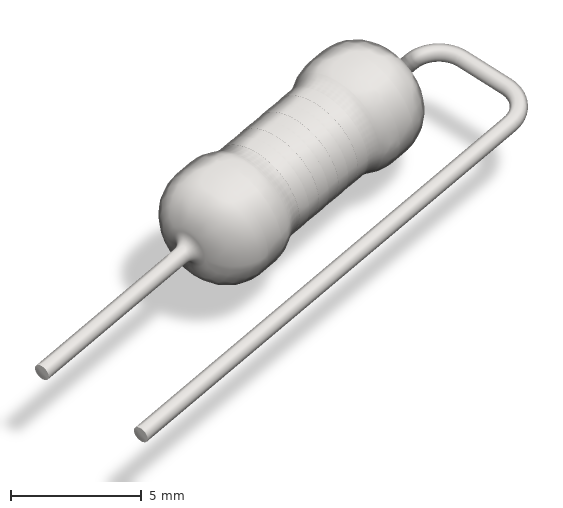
import cadquery as cq
import math


wire_diameter = 0.7
wire_radius = wire_diameter / 2
lead_pitch = 5.0
bend_radius = 2 * wire_diameter
front_lead_length = 8.6

body_length = 12.0
cap_radius = 5.0 / 2
waist_radius = 4.25 / 2
dome_radius = 1.75
cap_rim_length = 0.8
neck_fillet = 0.5
rear_neck_length = 1.0

band_radius = 4.27 / 2
band_count = 4
banded_length = 4.0
band_width = banded_length / (2 * band_count - 1)

half_length = body_length / 2
body_middle = front_lead_length + half_length


def point_on_circle(center, radius, angle):
    """Point at an angle measured in radians from the radial direction."""
    return (center[0] + radius * math.cos(angle), center[1] + radius * math.sin(angle))


def half_body():
    """Rear half of the body, with its middle plane at Y = 0."""
    dome_center = (cap_radius - dome_radius, half_length - dome_radius)
    rim_inner = dome_center[1] - cap_rim_length
    waist_end = banded_length / 2

    shoulder_drop = cap_radius - waist_radius
    shoulder_length = rim_inner - waist_end
    shoulder_angle = 2 * math.atan(shoulder_drop / shoulder_length)
    shoulder_radius = shoulder_length / (2 * math.sin(shoulder_angle))
    convex_center = (cap_radius - shoulder_radius, rim_inner)
    concave_center = (waist_radius + shoulder_radius, waist_end)

    center_distance = dome_radius + neck_fillet
    fillet_x = wire_radius + neck_fillet
    tangent_angle = math.acos((fillet_x - dome_center[0]) / center_distance)
    fillet_center = point_on_circle(dome_center, center_distance, tangent_angle)
    fillet_mid_angle = math.pi + tangent_angle / 2

    profile = (
        cq.Workplane("XY")
        .lineTo(waist_radius, 0)
        .lineTo(waist_radius, waist_end)
        .threePointArc(
            point_on_circle(concave_center, shoulder_radius, math.pi - shoulder_angle / 2),
            point_on_circle(concave_center, shoulder_radius, math.pi - shoulder_angle),
        )
        .threePointArc(
            point_on_circle(convex_center, shoulder_radius, -shoulder_angle / 2),
            (cap_radius, rim_inner),
        )
        .lineTo(cap_radius, dome_center[1])
        .threePointArc(
            point_on_circle(dome_center, dome_radius, tangent_angle / 2),
            point_on_circle(dome_center, dome_radius, tangent_angle),
        )
        .threePointArc(
            point_on_circle(fillet_center, neck_fillet, fillet_mid_angle),
            (wire_radius, fillet_center[1]),
        )
        .lineTo(0, fillet_center[1])
        .close()
    )
    return profile.revolve(360, (0, 0, 0), (0, 1, 0))


def color_band(start_y):
    """Disc slightly larger than the waist, centred on the body axis."""
    return cq.Workplane("XZ", origin=(0, start_y, 0)).circle(band_radius).extrude(-band_width)


def lead_wire():
    """One wire: through the body, over two right-angle bends and back to Y = 0."""
    bend_start = front_lead_length + body_length + rear_neck_length
    wire_top = bend_start + bend_radius
    path = (
        cq.Workplane("XY")
        .lineTo(0, bend_start)
        .radiusArc((bend_radius, wire_top), bend_radius)
        .lineTo(lead_pitch - bend_radius, wire_top)
        .radiusArc((lead_pitch, bend_start), bend_radius)
        .lineTo(lead_pitch, 0)
    )
    return cq.Workplane("XZ").circle(wire_radius).sweep(path)


rear_half = half_body()
front_half = rear_half.rotate((0, 0, 0), (1, 0, 0), 180)
body = rear_half.union(front_half).translate((0, body_middle, 0))

for index in range(band_count):
    band_start = body_middle - banded_length / 2 + 2 * band_width * index
    body = body.union(color_band(band_start))

result = body.union(lead_wire()).clean()